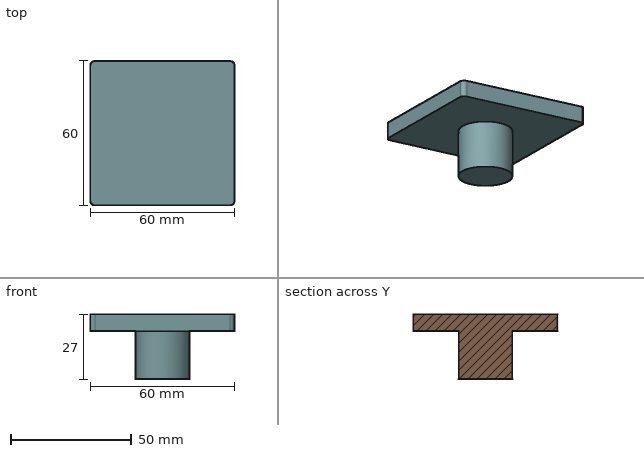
import cadquery as cq

plate_side = 60.0
corner_radius = 2.0
total_height = 27.0
post_height = 20.0
post_diameter = 22.5

plate_thickness = total_height - post_height


def make_plate():
    """Square plate with rounded vertical edges, its underside at Z = 0."""
    plate = cq.Workplane("XY").rect(plate_side, plate_side).extrude(plate_thickness)
    return plate.edges("|Z").fillet(corner_radius)


def make_post():
    """Round post hanging from the centre of the plate's underside."""
    return cq.Workplane("XY").circle(post_diameter / 2).extrude(-post_height)


result = make_plate().union(make_post())